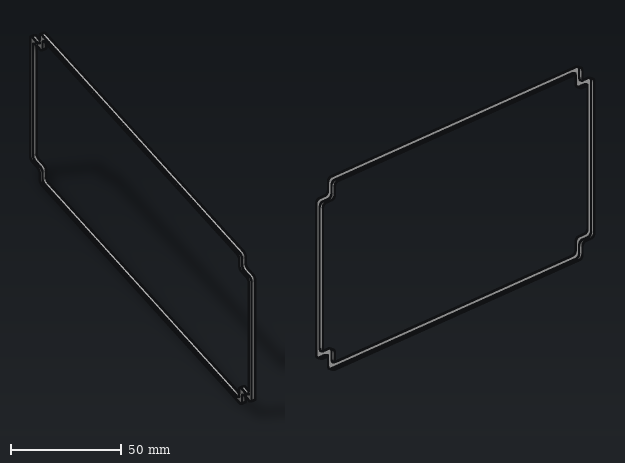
import cadquery as cq

length = 188.0
height = 95.0
thickness = 2.0

wall = 2.5
notch = 8.0
corner_radius = 2.0


def notched_plate(plate_length, plate_height):
    """Plate centred on the origin with a square step at each rounded corner."""
    half_thickness = thickness / 2
    wide = cq.Workplane("XZ").rect(plate_length, plate_height - 2 * notch)
    wide = wide.extrude(half_thickness, both=True)
    tall = cq.Workplane("XZ").rect(plate_length - 2 * notch, plate_height)
    tall = tall.extrude(half_thickness, both=True)
    plate = wide.union(tall)

    cross_x = plate_length / 2 - notch
    cross_z = plate_height / 2 - notch
    reach = notch / 2
    step_corners = cq.selectors.BoxSelector(
        (-cross_x - reach, -thickness, -cross_z - reach),
        (cross_x + reach, thickness, cross_z + reach),
    )
    plate = plate.edges("|Y").edges(step_corners).fillet(corner_radius)

    for side in ("<X", ">X", "<Z", ">Z"):
        plate = plate.faces(side).edges("|Y").fillet(corner_radius)
    return plate


outside = notched_plate(length, height)
opening = notched_plate(length - 2 * wall, height - 2 * wall)

result = outside.cut(opening)